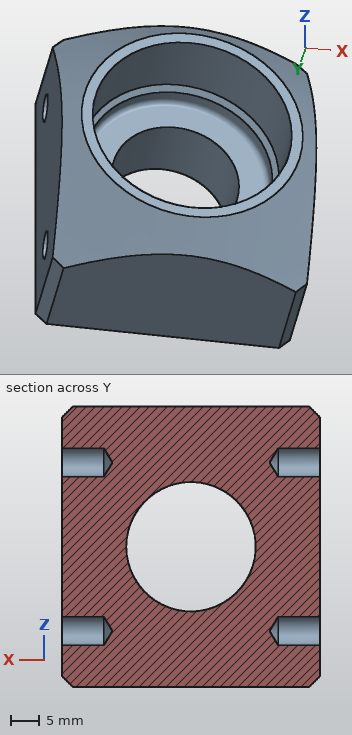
import cadquery as cq
import math

width = 46.0
depth = 30.0
height = 50.0
corner_chamfer = 2.0
front_y = -depth / 2
back_y = depth / 2

nose_radius = 20.0

bore_radius = 18.0
seat_radius = 17.0
seat_depth = 17.0
seat_wall = 2.0
floor_fillet = 1.0
through_radius = 11.5

side_hole_diameter = 5.0
side_hole_depth = 7.5
drill_tip_angle = 118.0
side_hole_from_back = 10.0
side_hole_spacing = 30.0


def block():
    body = cq.Workplane("XY").box(width, depth, height)
    return body.edges("|Y").chamfer(corner_chamfer)


def nose_cone():
    """Solid of revolution about Y, widening at 45 degrees towards the back."""
    back_radius = nose_radius + depth
    profile = [(0, front_y), (nose_radius, front_y), (back_radius, back_y), (0, back_y)]
    return cq.Workplane("XY").polyline(profile).close().revolve(360, (0, 0), (0, 1))


def stepped_bore():
    """Solid of revolution about Y that removes the bore and the through hole."""
    floor_y = front_y + seat_depth
    fillet_y = floor_y - floor_fillet
    shoulder_end_y = fillet_y - seat_wall
    shoulder_start_y = shoulder_end_y - (bore_radius - seat_radius)
    arc_offset = floor_fillet * math.sqrt(0.5)
    arc_middle = (seat_radius - floor_fillet + arc_offset, fillet_y + arc_offset)
    profile = (
        cq.Workplane("XY")
        .moveTo(0, front_y)
        .lineTo(bore_radius, front_y)
        .lineTo(bore_radius, shoulder_start_y)
        .lineTo(seat_radius, shoulder_end_y)
        .lineTo(seat_radius, fillet_y)
        .threePointArc(arc_middle, (seat_radius - floor_fillet, floor_y))
        .lineTo(through_radius, floor_y)
        .lineTo(through_radius, back_y)
        .lineTo(0, back_y)
        .close()
    )
    return profile.revolve(360, (0, 0), (0, 1))


def side_hole(side, z):
    """Drilled hole with a conical tip, entering the face at X = side * width / 2."""
    radius = side_hole_diameter / 2
    tip_length = radius / math.tan(math.radians(drill_tip_angle / 2))
    y = back_y - side_hole_from_back
    face_x = side * width / 2
    floor_x = face_x - side * side_hole_depth
    tip_x = floor_x - side * tip_length
    profile = [(face_x, y), (face_x, y + radius), (floor_x, y + radius), (tip_x, y)]
    section = cq.Workplane("XY", origin=(0, 0, z)).polyline(profile).close()
    return section.revolve(360, (0, y), (1, y))


result = block().intersect(nose_cone()).cut(stepped_bore())

for side in (-1, 1):
    for z in (-side_hole_spacing / 2, side_hole_spacing / 2):
        result = result.cut(side_hole(side, z))